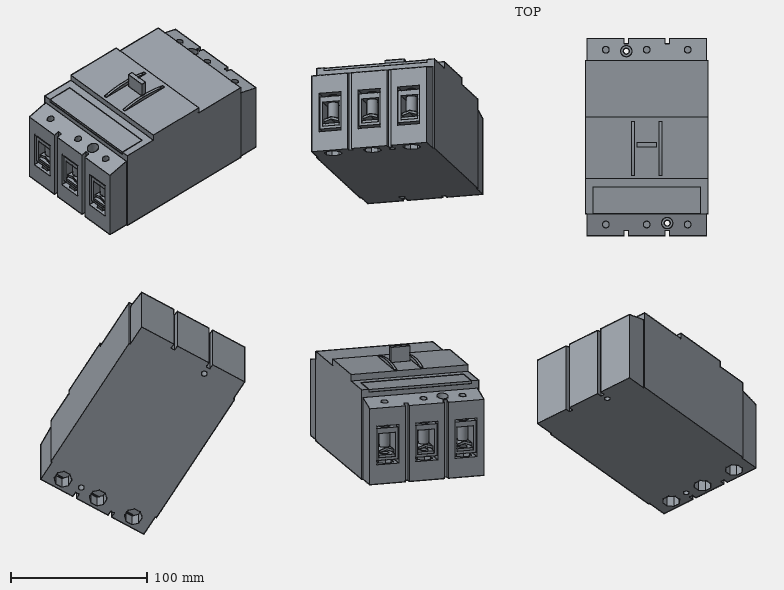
import cadquery as cq

TOTAL_LENGTH = 145.0
MAIN_WIDTH = 90.0
MAIN_LENGTH = 112.5
MAIN_HEIGHT = 68.2
END_WIDTH = 88.0
END_TOP_INNER = 62.2
END_TOP_OUTER = 57.9
RAISED_Y_MIN = -30.5
RAISED_Y_MAX = 14.6
RAISED_TOP = 73.1

TOGGLE_WIDTH = 14.6
TOGGLE_THICKNESS = 3.5
TOGGLE_Y = -5.7
TOGGLE_TOP = 84.5
RIDGE_SPACING = 20.3
RIDGE_WIDTH = 2.0
RIDGE_Y = -8.3
RIDGE_LENGTH = 39.5
RIDGE_RISE = 2.8
RIDGE_END_RISE = 0.3

LABEL_WIDTH = 79.0
LABEL_Y_BACK = -36.5
LABEL_BOTTOM = 66.0
LABEL_DEPTH = 0.3

POLE_PITCH = 30.0
POLE_X = [-POLE_PITCH, 0.0, POLE_PITCH]
GROOVE_WIDTH = 3.0
GROOVE_DEPTH = 3.9

ACCESS_DIAMETER = 5.0
ACCESS_Y = 64.1
MOUNT_DIAMETER = 4.2
MOUNT_HEAD_DIAMETER = 8.3
MOUNT_HEAD_FLOOR = 43.5
MOUNT_Y = 63.1

POCKET_WIDTH = 16.8
POCKET_BOTTOM = 14.8
POCKET_TOP = 44.1
OPENING_WIDTH = 12.0
OPENING_CORNER = 3.5

FRAME_SETBACK = 2.2
FRAME_DEPTH = 12.6
FRAME_BOTTOM = 17.4
FRAME_TOP = 41.8
WINDOW_WIDTH = 12.8
WINDOW_BOTTOM = 19.5
WINDOW_TOP = 37.8
SCREW_DIAMETER = 8.0
SCREW_TOP = 43.2
SCREW_BOTTOM = 26.4
PLATE_RIDGE_TOP = 26.5
PLATE_WIDTH = 11.2
PLATE_THICKNESS = 1.9
PLATE_RISE = 1.9
PLATE_SETBACK = 0.7

BAR_WIDTH = 12.3
BAR_TOP = 21.3
BAR_HOLE_DIAMETER = 6.5

FRONT_Y = -TOTAL_LENGTH / 2
MAIN_FRONT_Y = -MAIN_LENGTH / 2
FRAME_FRONT_Y = FRONT_Y + FRAME_SETBACK
POCKET_DEPTH = FRAME_SETBACK + FRAME_DEPTH
POCKET_BACK_Y = FRONT_Y + POCKET_DEPTH
SCREW_Y = -ACCESS_Y


def box(x, width, y_min, y_max, z_min, z_max):
    """A block centred on x, between the given Y and Z limits."""
    size = (width, y_max - y_min, z_max - z_min)
    return cq.Workplane("XY").box(*size, centered=(True, False, False)).translate((x, y_min, z_min))


def rod(x, y, diameter, z_min, z_max):
    """An upright cylinder."""
    return cq.Workplane("XY").circle(diameter / 2).extrude(z_max - z_min).translate((x, y, z_min))


def make_shell():
    end_profile = [
        (-TOTAL_LENGTH / 2, 0),
        (TOTAL_LENGTH / 2, 0),
        (TOTAL_LENGTH / 2, END_TOP_OUTER),
        (MAIN_LENGTH / 2, END_TOP_INNER),
        (-MAIN_LENGTH / 2, END_TOP_INNER),
        (-TOTAL_LENGTH / 2, END_TOP_OUTER),
    ]
    ends = cq.Workplane("YZ").polyline(end_profile).close().extrude(END_WIDTH / 2, both=True)
    main = box(0, MAIN_WIDTH, -MAIN_LENGTH / 2, MAIN_LENGTH / 2, 0, MAIN_HEIGHT)
    raised = box(0, MAIN_WIDTH, RAISED_Y_MIN, RAISED_Y_MAX, 0, RAISED_TOP)
    return ends.union(main).union(raised)


def make_toggle():
    half = TOGGLE_THICKNESS / 2
    return box(0, TOGGLE_WIDTH, TOGGLE_Y - half, TOGGLE_Y + half, MAIN_HEIGHT, TOGGLE_TOP)


def make_ridge(x):
    half = RIDGE_LENGTH / 2
    end_top = RAISED_TOP + RIDGE_END_RISE
    profile = (
        cq.Workplane("YZ")
        .moveTo(RIDGE_Y - half, RAISED_TOP)
        .lineTo(RIDGE_Y - half, end_top)
        .threePointArc((RIDGE_Y, RAISED_TOP + RIDGE_RISE), (RIDGE_Y + half, end_top))
        .lineTo(RIDGE_Y + half, RAISED_TOP)
        .close()
    )
    return profile.extrude(RIDGE_WIDTH / 2, both=True).translate((x, 0, 0))


def make_label_recess():
    top = box(0, LABEL_WIDTH, MAIN_FRONT_Y, LABEL_Y_BACK, MAIN_HEIGHT - LABEL_DEPTH, MAIN_HEIGHT)
    front = box(0, LABEL_WIDTH, MAIN_FRONT_Y, MAIN_FRONT_Y + LABEL_DEPTH, LABEL_BOTTOM, MAIN_HEIGHT)
    return top.union(front)


def make_groove(x, end):
    """A groove over the full height of the front (end = -1) or back (end = 1) face."""
    y_outer = end * TOTAL_LENGTH / 2
    y_inner = y_outer - end * GROOVE_DEPTH
    return box(x, GROOVE_WIDTH, min(y_outer, y_inner), max(y_outer, y_inner), 0, MAIN_HEIGHT)


def make_mount_hole(x, y):
    hole = rod(x, y, MOUNT_DIAMETER, 0, MAIN_HEIGHT)
    return hole.union(rod(x, y, MOUNT_HEAD_DIAMETER, MOUNT_HEAD_FLOOR, MAIN_HEIGHT))


def make_pocket(x):
    pocket = box(x, POCKET_WIDTH, FRONT_Y, POCKET_BACK_Y, POCKET_BOTTOM, POCKET_TOP)
    half = OPENING_WIDTH / 2
    opening = box(x, OPENING_WIDTH, SCREW_Y - half, SCREW_Y + half, 0, POCKET_BOTTOM)
    return pocket.union(opening.edges("|Z").chamfer(OPENING_CORNER))


def make_conductor_bar(x):
    bar = box(x, BAR_WIDTH, FRAME_FRONT_Y, POCKET_BACK_Y, WINDOW_BOTTOM, BAR_TOP)
    return bar.cut(rod(x, SCREW_Y, BAR_HOLE_DIAMETER, WINDOW_BOTTOM, BAR_TOP))


def make_housing():
    housing = make_shell().union(make_toggle())
    for side in (-1, 1):
        housing = housing.union(make_ridge(side * RIDGE_SPACING / 2))
    housing = housing.cut(make_label_recess())
    for end in (-1, 1):
        for side in (-1, 1):
            housing = housing.cut(make_groove(side * POLE_PITCH / 2, end))
        for x in POLE_X:
            housing = housing.cut(rod(x, end * ACCESS_Y, ACCESS_DIAMETER, POCKET_TOP, MAIN_HEIGHT))
        housing = housing.cut(make_mount_hole(-end * POLE_PITCH / 2, end * MOUNT_Y))
    for x in POLE_X:
        housing = housing.cut(make_pocket(x))
        housing = housing.union(make_conductor_bar(x))
    return housing


def make_pressure_plate(x):
    half = PLATE_WIDTH / 2
    end_top = PLATE_RIDGE_TOP - PLATE_RISE
    profile = [
        (-half, end_top),
        (0, PLATE_RIDGE_TOP),
        (half, end_top),
        (half, end_top - PLATE_THICKNESS),
        (0, PLATE_RIDGE_TOP - PLATE_THICKNESS),
        (-half, end_top - PLATE_THICKNESS),
    ]
    length = FRAME_DEPTH - 2 * PLATE_SETBACK
    plate = cq.Workplane("XZ").polyline(profile).close().extrude(-length)
    return plate.translate((x, FRAME_FRONT_Y + PLATE_SETBACK, 0))


def make_terminal(x):
    frame = box(x, POCKET_WIDTH, FRAME_FRONT_Y, POCKET_BACK_Y, FRAME_BOTTOM, FRAME_TOP)
    window = box(x, WINDOW_WIDTH, FRAME_FRONT_Y, POCKET_BACK_Y, WINDOW_BOTTOM, WINDOW_TOP)
    screw = rod(x, SCREW_Y, SCREW_DIAMETER, SCREW_BOTTOM, SCREW_TOP)
    return frame.cut(window).union(screw).union(make_pressure_plate(x))


housing = make_housing()
terminals = [make_terminal(x) for x in POLE_X]

result = cq.Compound.makeCompound([housing.val(), *[terminal.val() for terminal in terminals]])